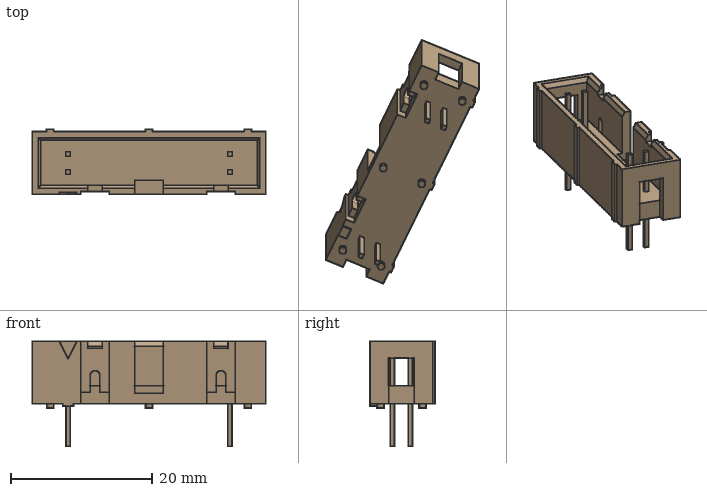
import cadquery as cq

length = 33.02
depth = 8.9
height = 8.88
end_wall = 1.22
long_wall = 1.3
floor_height = 2.58
lead_in_width = 0.4
lead_in_depth = 0.7
front = -depth / 2

pin_width = 0.63
pin_pitch = 2.55
pin_columns = 10
pin_span = (pin_columns - 1) * pin_pitch
pin_below = 6.0
pin_top = 8.7

recess_width = 4.0
recess_depth = 0.4
recess_centers = (-pin_span / 2 + 1.5 * pin_pitch, pin_span / 2 - pin_pitch / 2)
notch_width = 2.0
notch_depth = 1.02
foot_height = 1.7
slot_width = 1.4
slot_top = 4.7

key_width = 4.1
key_depth = 2.0
key_bottom = 1.5

window_width = 3.6
window_top = 6.47

rib_width = 1.05
rib_depth = 0.3
post_diameter = 1.02
post_length = 0.6
post_inset = 1.5
support_spacing = 13.97

mark_width = 2.5
mark_height = 2.5
mark_depth = 0.3
tab_width = 1.55
tab_depth = 1.3
tab_drop = 0.3


def box(x_center, x_size, y_min, y_max, z_min, z_max):
    """Block centred on x_center in X and spanning the given Y and Z limits."""
    block = cq.Workplane("XY").box(x_size, y_max - y_min, z_max - z_min, centered=(True, False, False))
    return block.translate((x_center, y_min, z_min))


def housing_shell():
    cavity_length = length - 2 * end_wall
    cavity_depth = depth - 2 * long_wall
    cavity = box(0, cavity_length, -cavity_depth / 2, cavity_depth / 2, floor_height, height)
    lead_in = (
        cq.Workplane("XY", origin=(0, 0, height - lead_in_depth))
        .rect(cavity_length, cavity_depth)
        .workplane(offset=lead_in_depth)
        .rect(cavity_length + 2 * lead_in_width, cavity_depth + 2 * lead_in_width)
        .loft(combine=True)
    )
    return box(0, length, front, -front, 0, height).cut(cavity).cut(lead_in)


def latch_cut(x):
    """Shallow recess with a top notch, a foot relief and a round-topped slot through the wall."""
    wall_inside = front + long_wall
    recess = box(x, recess_width, front, front + recess_depth, 0, height)
    notch = box(x, notch_width, front, wall_inside, height - notch_depth, height)
    foot = box(x, recess_width, front, wall_inside, 0, foot_height)
    arc_center = slot_top - slot_width / 2
    slot = box(x, slot_width, front, wall_inside, 0, arc_center)
    slot_end = (
        cq.Workplane("XZ", origin=(x, wall_inside, arc_center))
        .circle(slot_width / 2)
        .extrude(long_wall)
    )
    return recess.union(notch).union(foot).union(slot).union(slot_end)


def key_slot_cut():
    return box(0, key_width, front, front + key_depth, key_bottom, height)


def end_window_cut(side):
    x = side * (length - end_wall) / 2
    return box(x, end_wall, -window_width / 2, window_width / 2, 0, window_top)


def triangle_mark_cut():
    x = -pin_span / 2
    return (
        cq.Workplane("XZ", origin=(x, front + mark_depth, height))
        .polyline([(-mark_width / 2, 0), (mark_width / 2, 0), (0, -mark_height)])
        .close()
        .extrude(mark_depth)
    )


def pin_one_tab():
    return box(-pin_span / 2, tab_width, front, front + tab_depth, -tab_drop, 0)


def supports(x):
    """One back rib with a pair of round posts under the housing."""
    rib = box(x, rib_width, -front, -front + rib_depth, 0, height)
    post_y = -front - post_inset
    posts = (
        cq.Workplane("XY")
        .pushPoints([(x, -post_y), (x, post_y)])
        .circle(post_diameter / 2)
        .extrude(-post_length)
    )
    return rib.union(posts)


def pins():
    return (
        cq.Workplane("XY", origin=(0, 0, -pin_below))
        .rarray(pin_span, pin_pitch, 2, 2)
        .rect(pin_width, pin_width)
        .extrude(pin_below + pin_top)
    )


result = housing_shell()
for recess_x in recess_centers:
    result = result.cut(latch_cut(recess_x))
for end_side in (-1, 1):
    result = result.cut(end_window_cut(end_side))
result = result.cut(key_slot_cut()).cut(triangle_mark_cut())

result = result.union(pin_one_tab())
for support_x in (-support_spacing, 0, support_spacing):
    result = result.union(supports(support_x))
result = result.union(pins())